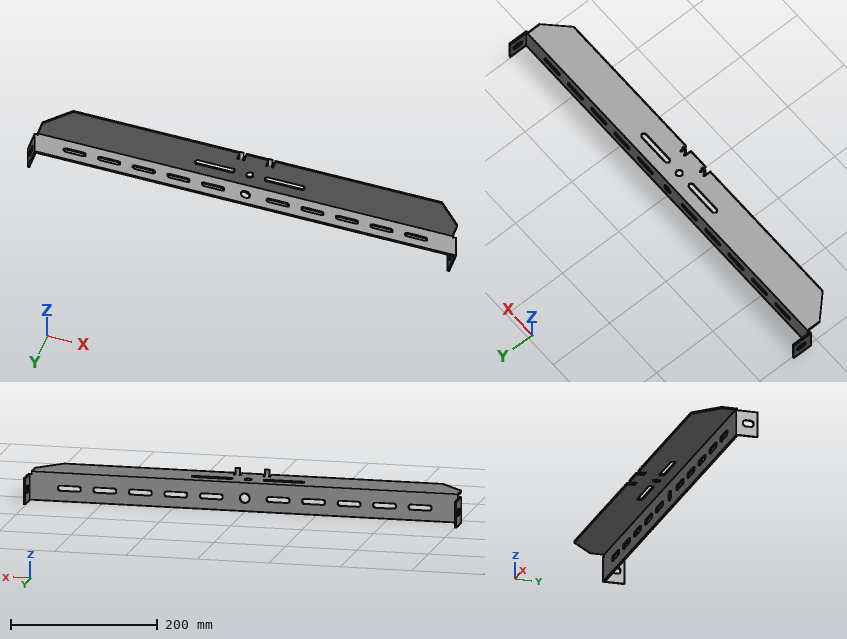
import cadquery as cq

length = 606.0
depth = 83.0
height = 48.5
sheet = 2.5

web_holes_z = 18.0
web_hole_diameter = 13.5
web_slot_length = 32.0
web_slot_width = 7.0
web_slots_per_side = 5
first_web_slot_x = 46.5
web_slot_pitch = 49.5

lug_reach = 28.0
lug_height = 36.0
lug_slot_length = 16.0
lug_slot_width = 9.0
lug_slot_y = 14.5

flange_top = 40.0
flange_end_gap = 5.0
flange_corner = 33.5
flange_depth = depth - lug_reach
flange_length = length - 2 * flange_end_gap
flange_bottom = flange_top - sheet
flange_holes_setback = 34.0
flange_holes_y = flange_holes_setback - flange_depth
flange_hole_diameter = 9.5
flange_slot_length = 57.0
flange_slot_width = 7.0
flange_slot_x = 50.0

tab_x = 20.5
tab_width = 6.0
tab_bend_radius = 2.0
notch_width = 9.5
notch_depth = 11.0
notch_back_y = notch_depth - flange_depth


def make_web():
    """Upright strip with a row of slots on each side of a central hole, and a neck up to the flange."""
    web = cq.Workplane("XY").box(length, sheet, lug_height, centered=(True, False, False))
    neck = (
        cq.Workplane("XY")
        .workplane(offset=lug_height)
        .box(flange_length, sheet, flange_top - lug_height, centered=(True, False, False))
    )
    web = web.union(neck).translate((0, -sheet, 0))

    slot_distances = [first_web_slot_x + i * web_slot_pitch for i in range(web_slots_per_side)]
    slot_centers = [(side * x, web_holes_z) for side in (-1, 1) for x in slot_distances]
    slots = (
        cq.Workplane("XZ")
        .pushPoints(slot_centers)
        .slot2D(web_slot_length, web_slot_width)
        .extrude(sheet)
    )
    hole = cq.Workplane("XZ").center(0, web_holes_z).circle(web_hole_diameter / 2).extrude(sheet)
    return web.cut(slots).cut(hole)


def make_lug(side):
    """End plate with one horizontal slot; side is -1 for the left end and 1 for the right."""
    middle_x = side * (length - sheet) / 2
    plate_depth = lug_reach + sheet
    plate = (
        cq.Workplane("XY")
        .box(sheet, plate_depth, lug_height, centered=(True, False, False))
        .translate((middle_x, -sheet, 0))
    )
    slot = (
        cq.Workplane("YZ")
        .center(lug_slot_y, web_holes_z)
        .slot2D(lug_slot_length, lug_slot_width)
        .extrude(sheet, both=True)
        .translate((middle_x, 0, 0))
    )
    return plate.cut(slot)


def make_flange():
    """Flat plate with cut-off front corners, two slots, a central hole and two front notches."""
    plate = (
        cq.Workplane("XY")
        .box(flange_length, flange_depth, sheet, centered=(True, False, False))
        .translate((0, -flange_depth, flange_bottom))
        .edges("|Z and <Y")
        .chamfer(flange_corner)
    )
    base = cq.Workplane("XY").workplane(offset=flange_bottom)
    slots = (
        base.pushPoints([(-flange_slot_x, flange_holes_y), (flange_slot_x, flange_holes_y)])
        .slot2D(flange_slot_length, flange_slot_width)
        .extrude(sheet)
    )
    hole = base.center(0, flange_holes_y).circle(flange_hole_diameter / 2).extrude(sheet)
    notch_middle_y = notch_back_y - notch_depth / 2
    notches = (
        base.pushPoints([(-tab_x, notch_middle_y), (tab_x, notch_middle_y)])
        .rect(notch_width, notch_depth)
        .extrude(sheet)
    )
    return plate.cut(slots).cut(hole).cut(notches)


def make_tab(center_x):
    """Narrow strip that leaves the notch level and turns up through a quarter bend."""
    outer_radius = tab_bend_radius + sheet
    bend_top = flange_bottom + outer_radius
    tab_front_y = notch_back_y - outer_radius
    return (
        cq.Workplane("YZ")
        .moveTo(notch_back_y, flange_bottom)
        .radiusArc((tab_front_y, bend_top), outer_radius)
        .lineTo(tab_front_y, height)
        .lineTo(tab_front_y + sheet, height)
        .lineTo(tab_front_y + sheet, bend_top)
        .radiusArc((notch_back_y, flange_top), -tab_bend_radius)
        .close()
        .extrude(tab_width / 2, both=True)
        .translate((center_x, 0, 0))
    )


result = make_web().union(make_flange())
for side in (-1, 1):
    result = result.union(make_lug(side)).union(make_tab(side * tab_x))